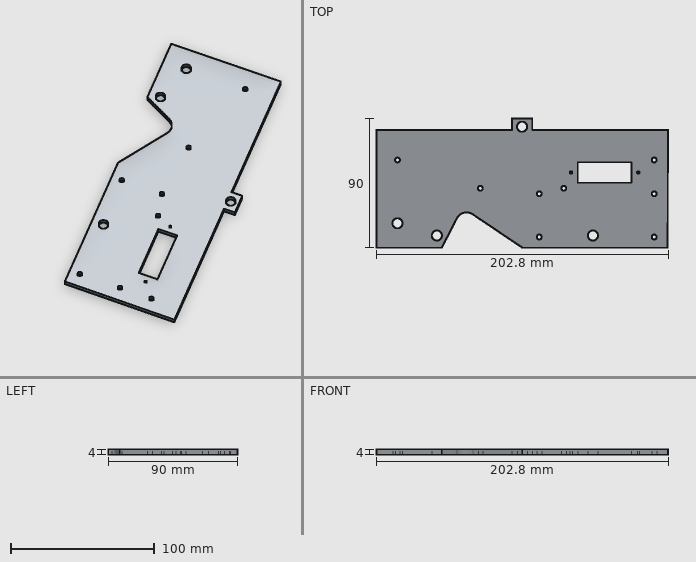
import cadquery as cq

length = 202.8
body_width = 82.0
overall_width = 90.0
thickness = 4.0
right_edge_taper = 0.5

tab_width = 14.2
tab_center_x = 101.2
tab_hole_y = 84.2

notch_left_x = 45.5
notch_right_x = 101.5
notch_apex = (59.8, 28.0)
notch_radius = 7.5

window_length = 37.3
window_width = 14.0
window_center = (158.5, 52.3)
pilot_spacing = 46.8
pilot_diameter = 1.6

large_diameter = 6.9
small_diameter = 3.2
left_column_x = 14.6
inner_column_x = 113.2
right_column_x = 193.0
back_row_y = 61.0
upper_row_y = 41.4
middle_row_y = 37.5
front_row_y = 7.5
large_row_y = 8.5

large_holes = [
    (tab_center_x, tab_hole_y),
    (left_column_x, 17.0),
    (42.0, large_row_y),
    (150.5, large_row_y),
]
small_holes = [
    (left_column_x, back_row_y),
    (right_column_x, back_row_y),
    (72.2, upper_row_y),
    (130.2, upper_row_y),
    (inner_column_x, middle_row_y),
    (right_column_x, middle_row_y),
    (inner_column_x, front_row_y),
    (right_column_x, front_row_y),
]
pilot_holes = [
    (window_center[0] + side * pilot_spacing / 2, window_center[1])
    for side in (-1, 1)
]


def make_plate():
    """Flat plate outline with the slightly leaning right edge."""
    outline = [
        (0, 0),
        (length - right_edge_taper, 0),
        (length, body_width),
        (0, body_width),
    ]
    return cq.Workplane("XY").polyline(outline).close().extrude(thickness)


def make_tab():
    """Square-cornered tab reaching from the plate to the overall width."""
    tab_depth = overall_width - body_width
    return (
        cq.Workplane("XY")
        .box(tab_width, tab_depth, thickness, centered=(True, False, False))
        .translate((tab_center_x, body_width, 0))
    )


def make_notch():
    """Triangular cutter with its inner corner rounded."""
    return (
        cq.Workplane("XY")
        .polyline([(notch_left_x, 0), notch_apex, (notch_right_x, 0)])
        .close()
        .extrude(thickness)
        .edges("|Z and >Y")
        .fillet(notch_radius)
    )


def make_window():
    """Rectangular cutter for the window."""
    return (
        cq.Workplane("XY")
        .center(*window_center)
        .rect(window_length, window_width)
        .extrude(thickness)
    )


def make_holes(centers, diameter):
    """Round cutters through the plate at the given centers."""
    return cq.Workplane("XY").pushPoints(centers).circle(diameter / 2).extrude(thickness)


result = make_plate().union(make_tab())
result = result.cut(make_notch()).cut(make_window())
for centers, diameter in (
    (large_holes, large_diameter),
    (small_holes, small_diameter),
    (pilot_holes, pilot_diameter),
):
    result = result.cut(make_holes(centers, diameter))